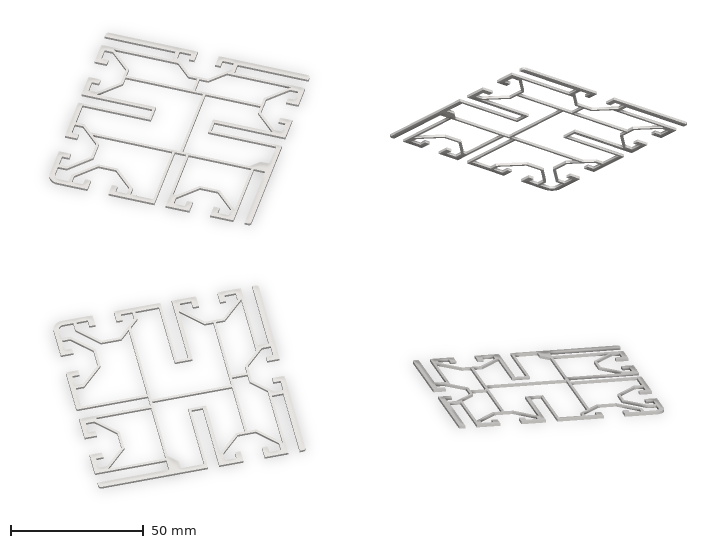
import cadquery as cq
import math

size = 80.0
half = size / 2
thickness = 1.0

web = 1.0
outer_wall = 2.0
flange_wall = 2.4

channel_offset = 20.0
mouth_half = 4.1
lip_edge = 6.4
top_lip_edge = 6.2
lip_depth = 4.8
cavity_half = 10.8
top_cavity_half = 10.6
leg_edge = 12.0
wide_leg_edge = 12.2
floor_depth = 12.5
floor_half = 3.5
arch_depth = floor_depth + web
arch_half = floor_half + web * math.tan(math.radians(22.5))
flank_reach = floor_depth + floor_half
outer_flank_reach = arch_depth + arch_half

slot_gap = 4.4
slot_length = 27.8
slot_end = half - slot_length
shelf_top = half - flange_wall - slot_gap
shelf_bottom = shelf_top - web
shelf_start = outer_flank_reach - (half - shelf_bottom)
side_slot_top = 6.5
side_slot_bottom = side_slot_top - slot_gap
side_channel_bar = 1.5

floor_web_top = -11.4
floor_web_bottom = floor_web_top - web
divider_x = 4.4
bottom_slot_right = 6.6
bottom_slot_left = bottom_slot_right - slot_gap
flange_inner = half - flange_wall
chamber_right = flange_inner - slot_gap
chamber_step_height = 6.4

corner_radius = 4.0
flange_tip_radius = 1.0


def polygon(points):
    """Closed outline in X and Y, extruded through the slice."""
    return cq.Workplane("XY").polyline(points).close().extrude(thickness)


def strip(x_range, y_range):
    """Rectangular piece of the section."""
    x_low, x_high = x_range
    y_low, y_high = y_range
    return polygon([(x_low, y_low), (x_high, y_low), (x_high, y_high), (x_low, y_high)])


def on_face(face, centre, points):
    """Polygon of (along, depth) points placed on one face of the square."""
    place = {
        "left": lambda along, depth: (depth - half, centre + along),
        "right": lambda along, depth: (half - depth, centre + along),
        "top": lambda along, depth: (centre + along, half - depth),
        "bottom": lambda along, depth: (centre + along, depth - half),
    }[face]
    return polygon([place(along, depth) for along, depth in points])


def arch(face, centre, cavity, low_leg, high_leg):
    """Channel floor with its two 45 degree flanks and the legs down to the outer face."""
    inner_leg_depth = flank_reach - cavity
    return on_face(face, centre, [
        (cavity, 0),
        (cavity, inner_leg_depth),
        (floor_half, floor_depth),
        (-floor_half, floor_depth),
        (-cavity, inner_leg_depth),
        (-cavity, 0),
        (-low_leg, 0),
        (-low_leg, outer_flank_reach - low_leg),
        (-arch_half, arch_depth),
        (arch_half, arch_depth),
        (high_leg, outer_flank_reach - high_leg),
        (high_leg, 0),
    ])


def hook(face, centre, side, inner_edge, cavity):
    """Outer wall and inward lip on one side (-1 or 1) of a channel mouth."""
    outline = [
        (mouth_half, 0),
        (mouth_half, lip_depth),
        (inner_edge, lip_depth),
        (inner_edge, outer_wall),
        (cavity, outer_wall),
        (cavity, 0),
    ]
    return on_face(face, centre, [(side * along, depth) for along, depth in outline])


def channel(face, centre, inner_edge=lip_edge, cavity=cavity_half, low_leg=leg_edge, high_leg=leg_edge):
    """Complete T-slot channel: two hooks and the arch behind them."""
    body = arch(face, centre, cavity, low_leg, high_leg)
    for side in (-1, 1):
        body = body.union(hook(face, centre, side, inner_edge, cavity))
    return body


def mirrored(x_range):
    """The same X range on the other side of the section centre."""
    low, high = x_range
    return (-high, -low)


def channels():
    """All T-slot channels; the lower right face has none."""
    pieces = [
        channel("top", 0, top_lip_edge, top_cavity_half, wide_leg_edge, wide_leg_edge),
        channel("bottom", -channel_offset, high_leg=wide_leg_edge),
        channel("bottom", channel_offset),
        channel("left", -channel_offset),
    ]
    for face in ("left", "right"):
        pieces.append(channel(face, channel_offset, high_leg=wide_leg_edge))
    return pieces


def panel_slot_walls():
    """Flanges, shelves and slot ends of the upper half, the same on both sides."""
    walls = [
        ((top_cavity_half, half), (half - flange_wall, half)),
        ((top_cavity_half, slot_end), (shelf_bottom, half)),
        ((shelf_start, half), (shelf_bottom, shelf_top)),
        ((slot_end - web, half), (side_slot_top, side_slot_top + side_channel_bar)),
        ((slot_end - web, half), (side_slot_bottom - web, side_slot_bottom)),
        ((slot_end - web, slot_end), (side_slot_bottom - web, side_slot_top + side_channel_bar)),
    ]
    pieces = []
    for x_range, y_range in walls:
        pieces.append(strip(x_range, y_range))
        pieces.append(strip(mirrored(x_range), y_range))
    return pieces


def cross_webs():
    """Webs tying the channels together across the middle."""
    web_end = half - floor_depth
    upper_web = (channel_offset - web / 2, channel_offset + web / 2)
    lower_web = (floor_web_bottom, floor_web_top)
    flank_depth = outer_flank_reach - (floor_web_top + channel_offset)
    return [
        strip((-web_end, web_end), upper_web),
        strip((-web / 2, web / 2), (channel_offset, half - floor_depth)),
        strip((divider_x - web / 2, divider_x + web / 2), (floor_web_bottom, channel_offset)),
        strip((flank_depth - half, half), lower_web),
    ]


def lower_walls():
    """Outer walls, chamber walls and flange of the lower half."""
    inner_face = outer_wall - half
    upper_hook_end = cavity_half - channel_offset
    corner_hook_end = -channel_offset - cavity_half
    left_foot = channel_offset - cavity_half
    right_foot = channel_offset + cavity_half
    chamber_height = (-half, floor_web_top)
    step_height = (-half, chamber_step_height - half)
    right_foot_height = (-half, outer_flank_reach - leg_edge - half)
    left_wall = (-half, inner_face)
    bottom_wall = (-half, inner_face)
    return [
        strip(left_wall, (upper_hook_end, side_slot_bottom)),
        strip(left_wall, (-half, corner_hook_end)),
        strip((-half, corner_hook_end), bottom_wall),
        strip((upper_hook_end, bottom_slot_left), bottom_wall),
        strip((bottom_slot_left - web, bottom_slot_left), chamber_height),
        strip((bottom_slot_right, bottom_slot_right + web), chamber_height),
        strip((bottom_slot_right, left_foot), step_height),
        strip((chamber_right - web, chamber_right), chamber_height),
        strip((right_foot, chamber_right), right_foot_height),
        strip((flange_inner, half), (-half, floor_web_top)),
        strip((half - outer_wall, half), (floor_web_bottom, side_slot_bottom)),
    ]


def shoulder():
    """Solid sloped block where the lower cross web meets the right wall."""
    web_along = floor_web_bottom + channel_offset
    return on_face("right", -channel_offset, [
        (web_along, 0),
        (leg_edge, 0),
        (leg_edge, outer_flank_reach - leg_edge),
        (web_along, outer_flank_reach - web_along),
    ])


def round_corner(body, x, y, radius):
    """Round the upright edge at a corner of the section."""
    tolerance = 0.01
    corner = cq.selectors.BoxSelector(
        (x - tolerance, y - tolerance, -thickness),
        (x + tolerance, y + tolerance, 2 * thickness),
    )
    return body.edges("|Z").edges(corner).fillet(radius)


def build():
    """Join all pieces, round the corners and centre the slice in Z."""
    pieces = channels() + panel_slot_walls() + cross_webs() + lower_walls() + [shoulder()]
    body = pieces[0]
    for piece in pieces[1:]:
        body = body.union(piece)
    body = body.clean()
    inner_corner = outer_wall - half
    body = round_corner(body, inner_corner, inner_corner, corner_radius - outer_wall)
    body = round_corner(body, -half, -half, corner_radius)
    for x, y in [(-half, half), (half, half), (half, -half)]:
        body = round_corner(body, x, y, flange_tip_radius)
    return body.translate((0, 0, -thickness / 2))


result = build()